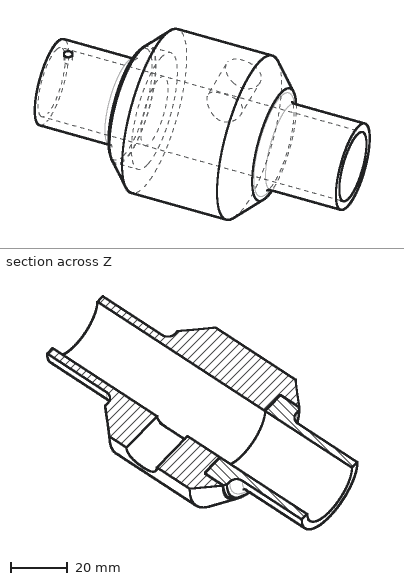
import cadquery as cq
import math

overall_length = 115.06
tube_outer_dia = 31.75
bore_dia = 25.4
body_dia = 60.33

shoulder_x = 27.5
shoulder_dia = 41.28
cone_height = (body_dia - shoulder_dia) / 2
cone_start_x = shoulder_x - cone_height
tube_fillet_radius = 3.175

plug_dia = 42.88
plug_chamfer = 0.9
mouth_wall = 0.4
housing_mouth_x = -shoulder_x + plug_chamfer
housing_mouth_radius = plug_dia / 2 + mouth_wall
mouth_cone_height = body_dia / 2 - housing_mouth_radius
mouth_cone_start_x = housing_mouth_x + mouth_cone_height
plug_inner_x = mouth_cone_start_x

port_x = 3.4
port_dia = 13.6

vent_dia = 3.17
vent_end_distance = 6.35

end_x = overall_length / 2
tube_radius = tube_outer_dia / 2
bore_radius = bore_dia / 2
body_radius = body_dia / 2
plug_radius = plug_dia / 2
shoulder_radius = shoulder_dia / 2
fillet_end_x = shoulder_x + tube_fillet_radius
fillet_outer_radius = tube_radius + tube_fillet_radius
fillet_mid_offset = tube_fillet_radius * (1 - math.sqrt(0.5))


def revolve_about_x(profile):
    return profile.close().revolve(360, (0, 0, 0), (1, 0, 0))


def make_housing():
    """Central body with the +X tube, the plug pocket and the side port."""
    profile = (
        cq.Workplane("XY")
        .moveTo(plug_inner_x, bore_radius)
        .lineTo(end_x, bore_radius)
        .lineTo(end_x, tube_radius)
        .lineTo(fillet_end_x, tube_radius)
        .threePointArc(
            (shoulder_x + fillet_mid_offset, tube_radius + fillet_mid_offset),
            (shoulder_x, fillet_outer_radius),
        )
        .lineTo(shoulder_x, shoulder_radius)
        .lineTo(cone_start_x, body_radius)
        .lineTo(mouth_cone_start_x, body_radius)
        .lineTo(housing_mouth_x, housing_mouth_radius)
        .lineTo(housing_mouth_x, plug_radius)
        .lineTo(plug_inner_x, plug_radius)
    )
    return revolve_about_x(profile).cut(make_port_cutter())


def make_port_cutter():
    """Straight round port from the bore axis out through the +Y wall."""
    return (
        cq.Workplane("XZ")
        .center(port_x, 0)
        .circle(port_dia / 2)
        .extrude(-body_dia)
    )


def make_plug():
    """Flanged tube at the -X end with its small top hole."""
    profile = (
        cq.Workplane("XY")
        .moveTo(plug_inner_x, bore_radius)
        .lineTo(-end_x, bore_radius)
        .lineTo(-end_x, tube_radius)
        .lineTo(-fillet_end_x, tube_radius)
        .threePointArc(
            (-shoulder_x - fillet_mid_offset, tube_radius + fillet_mid_offset),
            (-shoulder_x, fillet_outer_radius),
        )
        .lineTo(-shoulder_x, plug_radius - plug_chamfer)
        .lineTo(housing_mouth_x, plug_radius)
        .lineTo(plug_inner_x, plug_radius)
    )
    vent = (
        cq.Workplane("XY")
        .center(-end_x + vent_end_distance, 0)
        .circle(vent_dia / 2)
        .extrude(tube_outer_dia)
    )
    return revolve_about_x(profile).cut(vent)


housing = make_housing()
plug = make_plug()

result = cq.Compound.makeCompound([housing.val(), plug.val()])